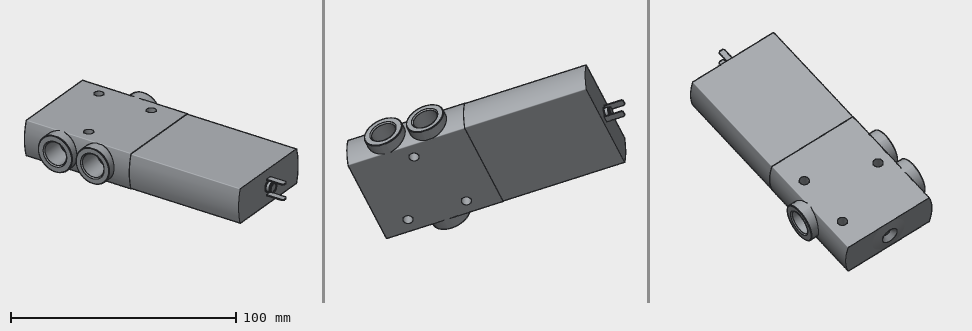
import cadquery as cq

overall_length = 124.0
overall_width = 56.0
height = 18.0

body_length = 56.0
body_width = 48.2
body_flat_width = 45.2
corner_radius = 0.5

housing_length = 58.3
housing_inset = 0.25

boss_diameter = 18.2
slim_boss_diameter = 17.9
slim_boss_height = 17.6
boss_edge_chamfer = 0.3
bore_diameter = 11.45
bore_chamfer = 0.6
bore_depth = 12.0
front_port_pitch = 20.0
first_front_port_x = 19.0
second_front_port_x = first_front_port_x + front_port_pitch
rear_port_x = first_front_port_x + front_port_pitch / 2

mount_diameter = 4.5
mount_y = 16.0
rear_mount_pitch = 28.0
rear_mount_x = 13.0

button_diameter = 18.0
button_height = 0.8
button_tip_diameter = 9.0
recess_mouth_diameter = 8.2
recess_floor_diameter = 4.0
recess_depth = 2.5

spigot_steps = [(5.8, 0.4), (5.0, 1.5), (3.8, 0.6), (4.5, 0.5)]

pin_width = 3.0
pin_thickness = 0.6
pin_spacing = 7.8
pin_tip_chamfer = 0.6

housing_end_x = body_length + housing_length
pin_length = overall_length - button_height - housing_end_x


def bulged_block(start_x, length, inset):
    """Block along X whose long sides are shallow arcs, rounded where they meet the flats."""
    apex_y = body_width / 2 - inset
    corner_y = body_flat_width / 2
    corner_z = height / 2 - inset
    return (
        cq.Workplane("YZ", origin=(start_x, 0, 0))
        .moveTo(-corner_y, corner_z)
        .lineTo(corner_y, corner_z)
        .threePointArc((apex_y, 0), (corner_y, -corner_z))
        .lineTo(-corner_y, -corner_z)
        .threePointArc((-apex_y, 0), (-corner_y, corner_z))
        .close()
        .extrude(length)
        .edges("|X")
        .fillet(corner_radius)
    )


def port_plane(x, side):
    """Workplane on the outer end of a port, with its normal pointing into the body."""
    return cq.Workplane(cq.Plane((x, side * overall_width / 2, 0), (1, 0, 0), (0, -side, 0)))


def port_boss(x, side, diameter, trimmed_height):
    """Round boss from the body's core to the outer end, with a flat trimmed on its top and bottom."""
    boss = port_plane(x, side).circle(diameter / 2).extrude(bore_depth)
    outer_face = "<Y" if side < 0 else ">Y"
    boss = boss.faces(outer_face).edges().chamfer(boss_edge_chamfer)
    trim = cq.Workplane("XY").box(2 * overall_length, 2 * overall_width, trimmed_height)
    return boss.intersect(trim)


def port_bore(x, side):
    """Blind bore with a chamfered mouth."""
    bore = port_plane(x, side).circle(bore_diameter / 2).extrude(bore_depth)
    mouth = (
        port_plane(x, side)
        .circle(bore_diameter / 2 + bore_chamfer)
        .workplane(offset=bore_chamfer)
        .circle(bore_diameter / 2)
        .loft()
    )
    return bore.union(mouth)


def end_button():
    """Shallow cone on the end face, narrowing outward to a thin rim around the recess."""
    return (
        cq.Workplane("XZ")
        .moveTo(0, 0)
        .lineTo(0, button_diameter / 2)
        .lineTo(-button_height, button_tip_diameter / 2)
        .lineTo(-button_height, 0)
        .close()
        .revolve(360, (0, 0, 0), (1, 0, 0))
    )


def button_recess():
    """Conical recess with a flat floor, opening through the end button."""
    return (
        cq.Workplane("YZ", origin=(-button_height, 0, 0))
        .circle(recess_mouth_diameter / 2)
        .workplane(offset=recess_depth)
        .circle(recess_floor_diameter / 2)
        .loft()
    )


def mounting_holes():
    """Three holes through the full height of the body."""
    centres = [
        (rear_mount_x, mount_y),
        (rear_mount_x + rear_mount_pitch, mount_y),
        (rear_port_x, -mount_y),
    ]
    return (
        cq.Workplane("XY", origin=(0, 0, -height))
        .pushPoints(centres)
        .circle(mount_diameter / 2)
        .extrude(2 * height)
    )


def add_spigot(part):
    """Stack the spigot steps outward from the housing end."""
    x = housing_end_x
    for diameter, length in spigot_steps:
        part = part.union(cq.Workplane("YZ", origin=(x, 0, 0)).circle(diameter / 2).extrude(length))
        x += length
    return part


def terminal_pin(z):
    """Flat pin along X with its tip corners chamfered."""
    return (
        cq.Workplane("XY", origin=(housing_end_x + pin_length / 2, 0, z))
        .box(pin_length, pin_width, pin_thickness)
        .edges("|Z and >X")
        .chamfer(pin_tip_chamfer)
    )


ports = [
    (first_front_port_x, -1, boss_diameter, height),
    (second_front_port_x, -1, slim_boss_diameter, slim_boss_height),
    (rear_port_x, 1, boss_diameter, height),
]

result = bulged_block(0, body_length, 0)
result = result.union(bulged_block(body_length, housing_length, housing_inset))

for port_x, port_side, port_diameter, port_height in ports:
    result = result.union(port_boss(port_x, port_side, port_diameter, port_height))
for port_x, port_side, _, _ in ports:
    result = result.cut(port_bore(port_x, port_side))

result = result.union(end_button()).cut(button_recess())
result = result.cut(mounting_holes())
result = add_spigot(result)
for pin_z in (-pin_spacing / 2, pin_spacing / 2):
    result = result.union(terminal_pin(pin_z))